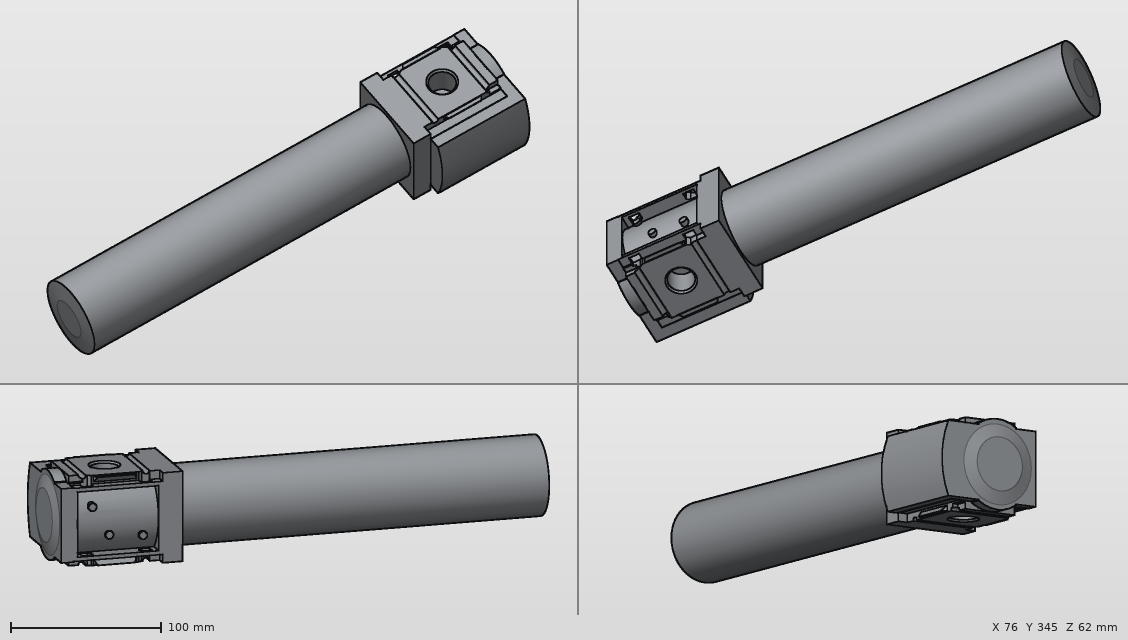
import cadquery as cq


HALF_SIZE = 31.0
BODY_FRONT_Y = -45.0
BODY_BACK_Y = 39.7
MIDDLE_HALF_Y = 31.0
COLLAR_HALF_Z = 25.5
SHELF_Z = 25.2
CORE_RADIUS = 30.0
CROWN_HALF_X = 15.2
CROWN_RADIUS = 27.5
CROWN_TOP_Z = 30.7

OVERALL_LENGTH = 345.0
CAP_HEIGHT = 2.5
CAP_BASE_RADIUS = 27.3
CAP_TOP_RADIUS = 18.3
TUBE_RADIUS = 55.0 / 2
TUBE_END_FLAT_RADIUS = 13.8
TUBE_END_TAPER = 1.7
TUBE_END_Y = BODY_BACK_Y + CAP_HEIGHT - OVERALL_LENGTH

COVER_EDGE_X = 39.7
COVER_CROWN_X = 45.0

PAD_HALF_X = 23.8
GROOVE_Y = 22.0
GROOVE_RADIUS = 2.25
STEP_HALF_X = 20.0
STEP_Z = 26.5
PORT_DIAMETER = 18.5
PORT_MOUTH_DIAMETER = 21.5
PORT_DEPTH = 20.7

LIP_REACH = 3.5
LIP_ROOT_HALF_Y = 15.2
LIP_TIP_HALF_Y = 12.8
LIP_TOP_Z = 30.5
LIP_ROOT_Z = 26.5

WINDOW_HALF_Y = 28.3
WINDOW_HALF_Z = 22.5
PIN_DIAMETER = 5.5
PIN_TIP_X = -30.7
PIN_ROOT_X = -24.0
PIN_CENTERS_YZ = [(17.5, 11.0), (6.0, -9.0), (-17.5, -11.0)]

LATCH_OVERCUT = 3.5
LATCH_FLOOR_Z = WINDOW_HALF_Z - LATCH_OVERCUT
LATCH_OUTER_X = -28.5
LATCH_NOTCH_X = -22.5
LATCH_INNER_Y = 16.5
LATCH_CORNER_Y = 19.0
LATCH_OUTER_Y = GROOVE_Y + GROOVE_RADIUS


def span_box(x_range, y_range, z_range):
    """Box given by its limits along each axis."""
    (x0, x1), (y0, y1), (z0, z1) = x_range, y_range, z_range
    return cq.Workplane("XY").box(x1 - x0, y1 - y0, z1 - z0, centered=False).translate((x0, y0, z0))


def y_cylinder(radius, y0, y1):
    """Cylinder on the Y axis between two Y positions."""
    return cq.Workplane("XZ", origin=(0, y1, 0)).circle(radius).extrude(y1 - y0)


def both_faces(shape):
    """The shape together with its mirror image below the XY plane."""
    return shape.union(shape.mirror("XY"))


def make_housing():
    sides = (-HALF_SIZE, HALF_SIZE)
    front = span_box(sides, (BODY_FRONT_Y, -MIDDLE_HALF_Y), sides)
    middle = span_box(sides, (-MIDDLE_HALF_Y, MIDDLE_HALF_Y), (-SHELF_Z, SHELF_Z))
    pad = span_box((-PAD_HALF_X, PAD_HALF_X), (-MIDDLE_HALF_Y, MIDDLE_HALF_Y), sides)
    collar = span_box(sides, (MIDDLE_HALF_Y, BODY_BACK_Y), (-COLLAR_HALF_Z, COLLAR_HALF_Z))
    return front.union(middle).union(pad).union(collar)


def make_crowns():
    """Rounded raised strips on the top and bottom of the back collar."""
    strip = span_box((-CROWN_HALF_X, CROWN_HALF_X), (MIDDLE_HALF_Y, BODY_BACK_Y), (0, HALF_SIZE))
    crown_center = (0, 0, CROWN_TOP_Z - CROWN_RADIUS)
    cylinder = y_cylinder(CROWN_RADIUS, MIDDLE_HALF_Y, BODY_BACK_Y).translate(crown_center)
    return both_faces(strip.intersect(cylinder))


def make_cover():
    return (
        cq.Workplane("XZ", origin=(0, BODY_BACK_Y, 0))
        .moveTo(HALF_SIZE, -COLLAR_HALF_Z)
        .lineTo(COVER_EDGE_X, -COLLAR_HALF_Z)
        .threePointArc((COVER_CROWN_X, 0), (COVER_EDGE_X, COLLAR_HALF_Z))
        .lineTo(HALF_SIZE, COLLAR_HALF_Z)
        .close()
        .extrude(BODY_BACK_Y + MIDDLE_HALF_Y)
    )


def make_tube_and_cap():
    """Turned shapes: the long tube with a tapered end, and the tapered cap at the back."""
    tube = [
        (0, TUBE_END_Y),
        (TUBE_END_FLAT_RADIUS, TUBE_END_Y),
        (TUBE_RADIUS, TUBE_END_Y + TUBE_END_TAPER),
        (TUBE_RADIUS, BODY_FRONT_Y),
        (0, BODY_FRONT_Y),
    ]
    cap = [
        (0, BODY_BACK_Y),
        (CAP_BASE_RADIUS, BODY_BACK_Y),
        (CAP_TOP_RADIUS, BODY_BACK_Y + CAP_HEIGHT),
        (0, BODY_BACK_Y + CAP_HEIGHT),
    ]
    tube_solid = cq.Workplane("XY").polyline(tube).close().revolve(360, (0, 0), (0, 1))
    cap_solid = cq.Workplane("XY").polyline(cap).close().revolve(360, (0, 0), (0, 1))
    return tube_solid, cap_solid


def make_lips():
    """Undercut lips along both sides of each pad, tapered towards their tips."""
    tip_x = PAD_HALF_X + LIP_REACH
    plan = (
        cq.Workplane("XY", origin=(0, 0, LIP_ROOT_Z))
        .polyline([
            (PAD_HALF_X, -LIP_ROOT_HALF_Y),
            (tip_x, -LIP_TIP_HALF_Y),
            (tip_x, LIP_TIP_HALF_Y),
            (PAD_HALF_X, LIP_ROOT_HALF_Y),
        ])
        .close()
        .extrude(LIP_TOP_Z - LIP_ROOT_Z)
    )
    wedge = (
        cq.Workplane("XZ")
        .polyline([(PAD_HALF_X, LIP_ROOT_Z), (tip_x, LIP_TOP_Z), (PAD_HALF_X, LIP_TOP_Z)])
        .close()
        .extrude(LIP_ROOT_HALF_Y, both=True)
    )
    lip = plan.intersect(wedge)
    return both_faces(lip.union(lip.mirror("YZ")))


def make_grooves():
    grooves = (
        cq.Workplane("YZ", origin=(-PAD_HALF_X, 0, 0))
        .pushPoints([(-GROOVE_Y, HALF_SIZE), (GROOVE_Y, HALF_SIZE)])
        .circle(GROOVE_RADIUS)
        .extrude(2 * PAD_HALF_X)
    )
    return both_faces(grooves)


def make_pad_steps():
    """Lowered corners of the pads behind the back groove."""
    step = span_box((STEP_HALF_X, PAD_HALF_X), (GROOVE_Y, MIDDLE_HALF_Y), (STEP_Z, HALF_SIZE))
    return both_faces(step.union(step.mirror("YZ")))


def make_ports():
    mouth_depth = (PORT_MOUTH_DIAMETER - PORT_DIAMETER) / 2
    bore_radius = PORT_DIAMETER / 2
    port = (
        cq.Workplane("XZ")
        .polyline([
            (0, HALF_SIZE - PORT_DEPTH),
            (bore_radius, HALF_SIZE - PORT_DEPTH),
            (bore_radius, HALF_SIZE - mouth_depth),
            (PORT_MOUTH_DIAMETER / 2, HALF_SIZE),
            (0, HALF_SIZE),
        ])
        .close()
        .revolve(360, (0, 0), (0, 1))
    )
    return both_faces(port)


def make_window():
    """Opening in the -X face that exposes the round core."""
    opening = span_box(
        (-HALF_SIZE, 0),
        (-WINDOW_HALF_Y, WINDOW_HALF_Y),
        (-WINDOW_HALF_Z, WINDOW_HALF_Z),
    )
    return opening.cut(y_cylinder(CORE_RADIUS, -WINDOW_HALF_Y, WINDOW_HALF_Y))


def make_latch_openings():
    """Openings through the ledges, notched into the pad side; they stop at the round core."""
    opening = (
        cq.Workplane("XY", origin=(0, 0, LATCH_FLOOR_Z))
        .polyline([
            (LATCH_OUTER_X, LATCH_INNER_Y),
            (-PAD_HALF_X, LATCH_INNER_Y),
            (LATCH_NOTCH_X, LATCH_CORNER_Y),
            (LATCH_NOTCH_X, LATCH_OUTER_Y),
            (LATCH_OUTER_X, LATCH_OUTER_Y),
        ])
        .close()
        .extrude(HALF_SIZE - LATCH_FLOOR_Z)
        .cut(y_cylinder(CORE_RADIUS, -MIDDLE_HALF_Y, MIDDLE_HALF_Y))
    )
    return both_faces(opening.union(opening.mirror("XZ")))


def make_pins():
    """Short pins standing on the round core inside the window."""
    return (
        cq.Workplane("YZ", origin=(PIN_TIP_X, 0, 0))
        .pushPoints(PIN_CENTERS_YZ)
        .circle(PIN_DIAMETER / 2)
        .extrude(PIN_ROOT_X - PIN_TIP_X)
    )


tube, cap = make_tube_and_cap()
result = make_housing()
for added in (make_crowns(), make_cover(), tube, cap, make_lips()):
    result = result.union(added)
for removed in (
    make_grooves(),
    make_pad_steps(),
    make_ports(),
    make_window(),
    make_latch_openings(),
):
    result = result.cut(removed)
result = result.union(make_pins())